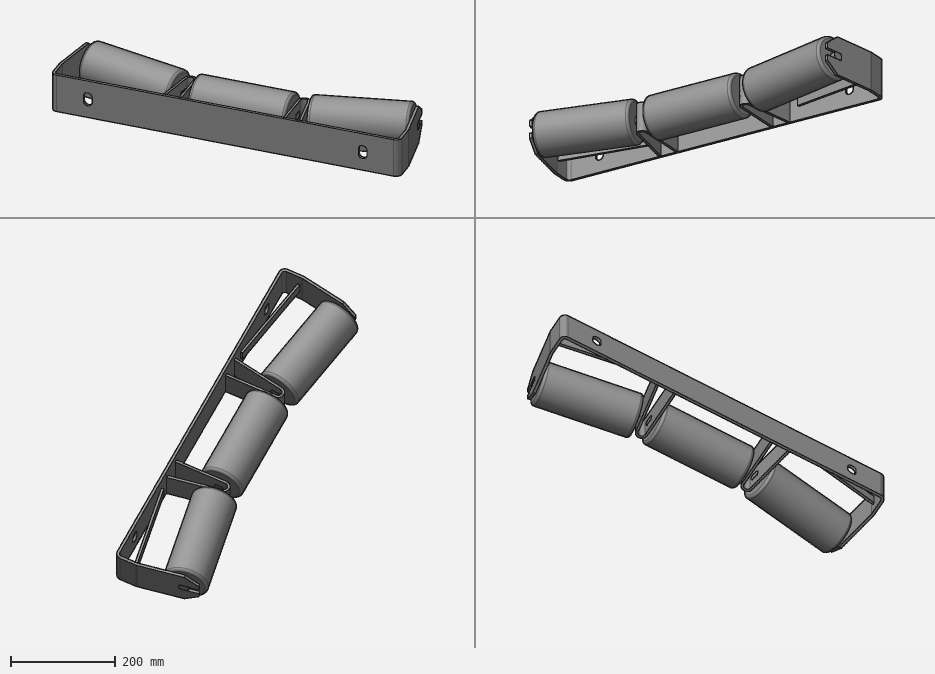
import cadquery as cq
import math


LENGTH = 720.0
WIDTH = 80.0
FRAME_PLATE = 6.0
BEND_RADIUS = 12.0
TROUGH_ANGLE = 10.0
FOLD_Y = 47.0
EAR_TIP_Y = 170.0
EAR_CHAMFER_ALONG = 29.0
EAR_CHAMFER_ACROSS = 21.5
MOUNT_SLOT_X = 284.0
MOUNT_SLOT_WIDTH = 18.0
MOUNT_SLOT_HEIGHT = 28.0

HOOP_WIDTH = 60.5
HOOP_PLATE = 5.0
HOOP_ARC_X = 117.0
HOOP_TOP_Y = 125.0

GUSSET_PLATE = 5.0
GUSSET_WIDTH = 24.0
GUSSET_ANGLE = 9.4
GUSSET_FOOT_X = 170.0

ROLLER_DIAMETER = 89.0
ROLLER_LENGTH = 200.0
ROLLER_FILLET = 6.0
SHAFT_DIAMETER = 20.0
SHAFT_FLATS = 14.5
CENTRE_ROLLER_Y = 99.0
CENTRE_ROLLER_DROP = 7.0
WING_ROLLER_Y = 121.0
WING_TILT = 2.0

HALF_LENGTH = LENGTH / 2
MID_Z = WIDTH / 2
COS = math.cos(math.radians(TROUGH_ANGLE))
SIN = math.sin(math.radians(TROUGH_ANGLE))
TAN = SIN / COS
EAR_TIP_X = -HALF_LENGTH + (EAR_TIP_Y - FOLD_Y) * TAN
HOOP_ARC_Y = HOOP_TOP_Y - BEND_RADIUS

EAR_FACE = -HALF_LENGTH * COS - FOLD_Y * SIN
HOOP_FACE = -HOOP_ARC_X * COS - HOOP_ARC_Y * SIN - BEND_RADIUS
WING_MIDDLE = (EAR_FACE + FRAME_PLATE + HOOP_FACE) / 2
WING_OUTER_REACH = WING_MIDDLE - EAR_FACE
WING_INNER_REACH = HOOP_FACE + HOOP_PLATE - WING_MIDDLE

WING_X = (WING_MIDDLE + WING_ROLLER_Y * SIN) / COS
WING_Z = MID_Z - WING_OUTER_REACH * math.sin(math.radians(WING_TILT))
CENTRE_REACH = HOOP_ARC_X - BEND_RADIUS + HOOP_PLATE


def mirrored(body):
    return body.mirror("YZ")


def shaft(left_reach, right_reach):
    """Shaft along X, through the origin, with a flat above and below."""
    length = left_reach + right_reach
    start = cq.Workplane("YZ", origin=(-left_reach, 0, 0))
    rod = start.circle(SHAFT_DIAMETER / 2).extrude(length)
    flats = start.rect(SHAFT_DIAMETER, SHAFT_FLATS).extrude(length)
    return rod.intersect(flats)


def roller(left_reach, right_reach):
    """Drum with its shaft, along X and centred on the origin."""
    drum = cq.Workplane("YZ", origin=(-ROLLER_LENGTH / 2, 0, 0)).circle(ROLLER_DIAMETER / 2)
    drum = drum.extrude(ROLLER_LENGTH).edges().fillet(ROLLER_FILLET)
    return drum.union(shaft(left_reach, right_reach))


def place_centre(body):
    return body.translate((0, CENTRE_ROLLER_Y, MID_Z - CENTRE_ROLLER_DROP))


def place_left_wing(body):
    tilted = body.rotate((0, 0, 0), (0, 1, 0), WING_TILT)
    turned = tilted.rotate((0, 0, 0), (0, 0, 1), -TROUGH_ANGLE)
    return turned.translate((WING_X, WING_ROLLER_Y, WING_Z))


def left_wing_seat():
    """Space for the wing shaft: a hole through the hoop and a slot open at the ear tip."""
    hole = shaft(WING_OUTER_REACH + FRAME_PLATE, WING_INNER_REACH + HOOP_PLATE)
    slot_depth = EAR_TIP_Y - FOLD_Y
    slot = cq.Workplane("XY").box(4 * FRAME_PLATE, slot_depth, SHAFT_FLATS)
    slot = slot.translate((-WING_OUTER_REACH, slot_depth / 2, 0))
    return place_left_wing(hole.union(slot))


def left_ear_trim():
    """Material outside the left ear's chamfered tip."""
    tip = cq.Plane(origin=(EAR_TIP_X, EAR_TIP_Y, 0), xDir=(SIN, COS, 0), normal=(COS, -SIN, 0))
    ear_outline = [
        (-EAR_CHAMFER_ALONG, 0),
        (0, EAR_CHAMFER_ACROSS),
        (0, WIDTH - EAR_CHAMFER_ACROSS),
        (-EAR_CHAMFER_ALONG, WIDTH),
    ]
    block = cq.Workplane(tip).center(0, MID_Z).rect(2 * EAR_CHAMFER_ALONG, WIDTH)
    block = block.extrude(2 * FRAME_PLATE, both=True)
    kept = cq.Workplane(tip).polyline(ear_outline).close().extrude(2 * FRAME_PLATE, both=True)
    return block.cut(kept)


def frame():
    """Flat strip bent into a shallow U whose ends lean inwards as ears."""
    outline = [
        (EAR_TIP_X, EAR_TIP_Y),
        (-HALF_LENGTH, FOLD_Y),
        (-HALF_LENGTH, 0),
        (HALF_LENGTH, 0),
        (HALF_LENGTH, FOLD_Y),
        (-EAR_TIP_X, EAR_TIP_Y),
    ]
    block = cq.Workplane("XY").polyline(outline).close().extrude(WIDTH)
    block = block.edges("|Z").edges("not >Y").fillet(BEND_RADIUS)
    strip = block.faces(">Y or >Z or <Z").shell(-FRAME_PLATE)

    for cutter in (left_ear_trim(), left_wing_seat()):
        strip = strip.cut(cutter).cut(mirrored(cutter))

    mount_slots = (
        cq.Workplane("XZ", origin=(0, 0, MID_Z))
        .pushPoints([(-MOUNT_SLOT_X, 0), (MOUNT_SLOT_X, 0)])
        .slot2D(MOUNT_SLOT_HEIGHT, MOUNT_SLOT_WIDTH, 90)
        .extrude(FRAME_PLATE, both=True)
    )
    return strip.cut(mount_slots)


def left_hoop():
    """Inverted U on the back plate: one leg upright, one square to the wing roller."""
    upright_x = -HOOP_ARC_X + BEND_RADIUS
    tangent = (-HOOP_ARC_X - BEND_RADIUS * COS, HOOP_ARC_Y + BEND_RADIUS * SIN)
    leaning_foot_x = tangent[0] - (tangent[1] - FRAME_PLATE) * TAN
    block = (
        cq.Workplane("XY")
        .moveTo(upright_x, FRAME_PLATE)
        .lineTo(upright_x, HOOP_ARC_Y)
        .threePointArc((-HOOP_ARC_X, HOOP_TOP_Y), tangent)
        .lineTo(leaning_foot_x, FRAME_PLATE)
        .close()
        .extrude(HOOP_WIDTH)
    )
    strip = block.faces("<Y or >Z or <Z").shell(-HOOP_PLATE)
    centre_seat = place_centre(shaft(CENTRE_REACH, CENTRE_REACH))
    return strip.cut(left_wing_seat()).cut(centre_seat)


def left_gusset():
    """Sloping brace from the end wall down to the back plate."""
    slope = math.radians(GUSSET_ANGLE)
    wall_x = -HALF_LENGTH + FRAME_PLATE
    foot = (-GUSSET_FOOT_X, FRAME_PLATE)
    heel = (foot[0] + GUSSET_PLATE * math.sin(slope), foot[1] + GUSSET_PLATE * math.cos(slope))
    outline = [
        foot,
        heel,
        (wall_x, heel[1] + (heel[0] - wall_x) * math.tan(slope)),
        (wall_x, foot[1] + (foot[0] - wall_x) * math.tan(slope)),
    ]
    brace = cq.Workplane("XY").polyline(outline).close().extrude(GUSSET_WIDTH)
    return brace.translate((0, 0, MID_Z - GUSSET_WIDTH / 2))


centre_roller = place_centre(roller(CENTRE_REACH, CENTRE_REACH))
left_wing_roller = place_left_wing(roller(WING_OUTER_REACH, WING_INNER_REACH))

bodies = [frame(), centre_roller]
for left_body in (left_hoop(), left_gusset(), left_wing_roller):
    bodies += [left_body, mirrored(left_body)]

result = cq.Compound.makeCompound([body.solids().val() for body in bodies])